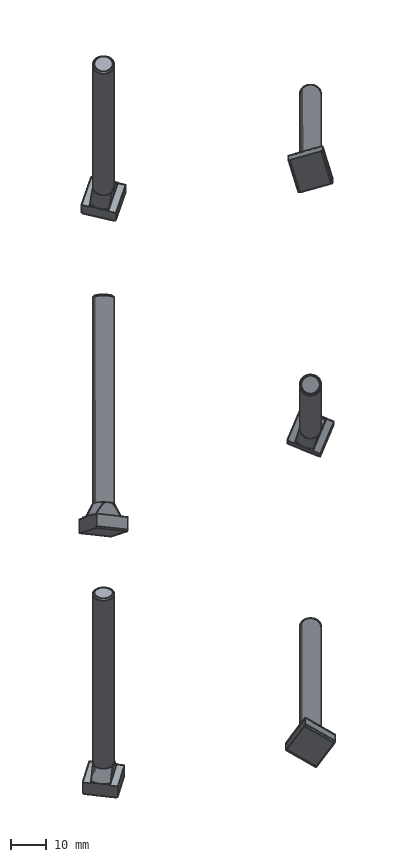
import cadquery as cq

total_height = 67.0
shank_diameter = 6.0
tip_chamfer = 0.5

head_side = 10.0
head_height = 4.0
head_chamfer = 0.5

neck_width = 5.55
pad_height = 0.2
neck_top = 8.05
pad_top = head_height + pad_height


def make_head():
    """Square head with its two lower edges along Y chamfered."""
    block = cq.Workplane("XY").box(head_side, head_side, head_height, centered=(True, True, False))
    return block.faces("<Z").edges("|Y").chamfer(head_chamfer)


def make_neck():
    """Low pad across the head carrying a cone trimmed to the pad width."""
    pad = cq.Workplane("XY").box(neck_width, head_side, pad_top, centered=(True, True, False))
    cone = cq.Workplane("XY").add(
        cq.Solid.makeCone(
            head_side / 2,
            shank_diameter / 2,
            neck_top - pad_top,
            pnt=cq.Vector(0, 0, pad_top),
        )
    )
    trim = cq.Workplane("XY").box(neck_width, head_side, neck_top, centered=(True, True, False))
    return pad.union(cone.intersect(trim))


def make_shank():
    """Round shank with a chamfered tip."""
    shank = (
        cq.Workplane("XY")
        .workplane(offset=neck_top)
        .circle(shank_diameter / 2)
        .extrude(total_height - neck_top)
    )
    return shank.faces(">Z").edges().chamfer(tip_chamfer)


result = make_head().union(make_neck()).union(make_shank())